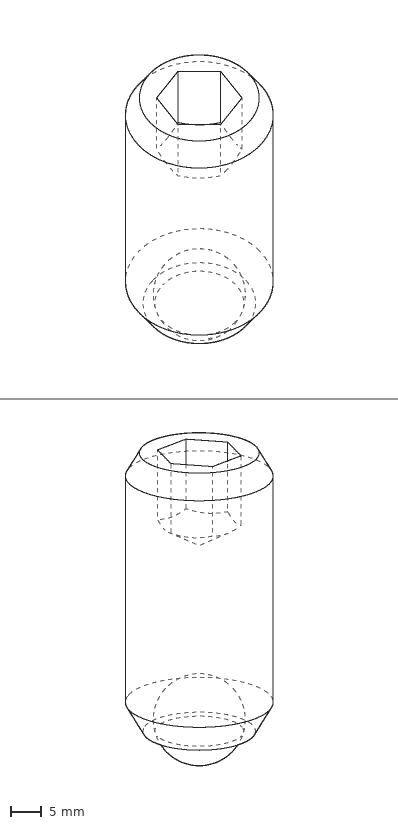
import cadquery as cq
import math

total_length = 53.5
body_diameter = 24.0
ball_diameter = 15.0
ball_protrusion = 5.5

chamfer_angle = math.radians(30)
top_chamfer_height = 3.95
bottom_chamfer_height = 5.0

hex_across_flats = 12.0
socket_depth = 12.0
drill_point_angle = math.radians(120)

body_radius = body_diameter / 2
ball_radius = ball_diameter / 2
body_length = total_length - ball_protrusion
top_radius = body_radius - top_chamfer_height * math.tan(chamfer_angle)
bottom_radius = body_radius - bottom_chamfer_height * math.tan(chamfer_angle)
hex_across_corners = hex_across_flats / math.cos(math.radians(30))
hex_corner_radius = hex_across_corners / 2
drill_point_depth = hex_corner_radius / math.tan(drill_point_angle / 2)

ball_center_z = ball_radius - ball_protrusion


def make_ball():
    return cq.Workplane("XY").sphere(ball_radius).translate((0, 0, ball_center_z))


def make_hex_socket():
    """Hexagonal prism with corners on the X axis, ending in a drill-point cone."""
    full_depth = socket_depth + drill_point_depth
    prism = (
        cq.Workplane("XY", origin=(0, 0, body_length))
        .polygon(6, hex_across_corners)
        .extrude(-full_depth)
    )
    corner_z = body_length - socket_depth
    drilled_hole = (
        cq.Workplane("XZ")
        .moveTo(0, body_length)
        .lineTo(hex_corner_radius, body_length)
        .lineTo(hex_corner_radius, corner_z)
        .lineTo(0, corner_z - drill_point_depth)
        .close()
        .revolve(360, (0, 0), (0, 1))
    )
    return prism.intersect(drilled_hole)


def make_housing():
    """Chamfered cylinder with the drive socket on top and the ball seat below."""
    blank = (
        cq.Workplane("XZ")
        .lineTo(bottom_radius, 0)
        .lineTo(body_radius, bottom_chamfer_height)
        .lineTo(body_radius, body_length - top_chamfer_height)
        .lineTo(top_radius, body_length)
        .lineTo(0, body_length)
        .close()
        .revolve(360, (0, 0), (0, 1))
    )
    return blank.cut(make_hex_socket()).cut(make_ball())


housing = make_housing()
ball = make_ball()

result = cq.Compound.makeCompound([housing.solids().val(), ball.val()])